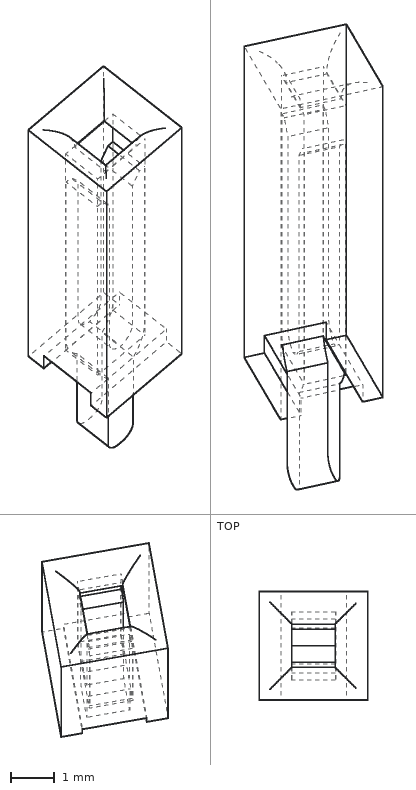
import cadquery as cq
import math

total_height = 12.0
housing_side = 2.5
tail_length = 3.0

notch_width = 1.5
notch_height = 0.5
throat_side = 1.0
throat_length = 0.1
funnel_radius = 0.6
pocket_x = 1.02
pocket_y = 1.56

contact_width = 1.0
tail_thickness = 0.83
tip_radius = 0.36
shoulder_radius = 1.32
gap_width = 0.75
gap_root_radius = 0.48
gap_tangent_z = 4.32
leaf_top_z = 10.2
lead_in_run = 0.24
lead_in_angle = 57.0

funnel_bottom_z = total_height - funnel_radius
pocket_top_z = funnel_bottom_z - throat_length


def make_funnel():
    """Square mouth with rounded walls that run tangent into the throat."""
    throat_half = throat_side / 2
    mouth_half = throat_half + funnel_radius
    arc_offset = funnel_radius * math.sqrt(0.5)
    arc_mid = (mouth_half - arc_offset, funnel_bottom_z + arc_offset)

    def flared_prism(plane):
        return (
            cq.Workplane(plane)
            .moveTo(-throat_half, funnel_bottom_z)
            .lineTo(throat_half, funnel_bottom_z)
            .threePointArc(arc_mid, (mouth_half, total_height))
            .lineTo(-mouth_half, total_height)
            .threePointArc((-arc_mid[0], arc_mid[1]), (-throat_half, funnel_bottom_z))
            .close()
            .extrude(mouth_half, both=True)
        )

    return flared_prism("XZ").intersect(flared_prism("YZ"))


def centred_box(size_x, size_y, bottom_z, top_z):
    """Upright box on the Z axis between two heights."""
    return (
        cq.Workplane("XY", origin=(0, 0, bottom_z))
        .rect(size_x, size_y)
        .extrude(top_z - bottom_z)
    )


def make_housing():
    block = centred_box(housing_side, housing_side, tail_length, total_height)
    notch = centred_box(notch_width, housing_side, tail_length, tail_length + notch_height)
    pocket = centred_box(pocket_x, pocket_y, tail_length, pocket_top_z)
    throat = centred_box(throat_side, throat_side, pocket_top_z, funnel_bottom_z)
    return block.cut(notch).cut(pocket).cut(throat).cut(make_funnel())


def make_contact_blank():
    """Tail that swells through two round shoulders into the body filling the pocket in Y."""
    tail_half = tail_thickness / 2
    body_half = pocket_y / 2
    arc_center_y = body_half - shoulder_radius
    start_angle = math.acos((tail_half - arc_center_y) / shoulder_radius)
    shoulder_top_z = tail_length + shoulder_radius * math.sin(start_angle)
    mid_y = arc_center_y + shoulder_radius * math.cos(start_angle / 2)
    mid_z = shoulder_top_z - shoulder_radius * math.sin(start_angle / 2)
    return (
        cq.Workplane("YZ")
        .moveTo(-tail_half, 0)
        .lineTo(tail_half, 0)
        .lineTo(tail_half, tail_length)
        .threePointArc((mid_y, mid_z), (body_half, shoulder_top_z))
        .lineTo(body_half, leaf_top_z)
        .lineTo(-body_half, leaf_top_z)
        .lineTo(-body_half, shoulder_top_z)
        .threePointArc((-mid_y, mid_z), (-tail_half, tail_length))
        .close()
        .extrude(contact_width / 2, both=True)
        .faces("<Z").edges("|X").fillet(tip_radius)
    )


def make_leaf_gap():
    """Gap between the two leaves: flared at the top, with two arcs meeting at its root."""
    gap_half = gap_width / 2
    arc_center_y = gap_half - gap_root_radius
    root_angle = math.acos(-arc_center_y / gap_root_radius)
    root_z = gap_tangent_z - gap_root_radius * math.sin(root_angle)
    mid_y = arc_center_y + gap_root_radius * math.cos(root_angle / 2)
    mid_z = gap_tangent_z - gap_root_radius * math.sin(root_angle / 2)
    lead_in_z = leaf_top_z - lead_in_run * math.tan(math.radians(lead_in_angle))
    return (
        cq.Workplane("YZ")
        .moveTo(0, root_z)
        .threePointArc((mid_y, mid_z), (gap_half, gap_tangent_z))
        .lineTo(gap_half, lead_in_z)
        .lineTo(gap_half + lead_in_run, leaf_top_z)
        .lineTo(-gap_half - lead_in_run, leaf_top_z)
        .lineTo(-gap_half, lead_in_z)
        .lineTo(-gap_half, gap_tangent_z)
        .threePointArc((-mid_y, mid_z), (0, root_z))
        .close()
        .extrude(contact_width / 2, both=True)
    )


def make_contact():
    return make_contact_blank().cut(make_leaf_gap())


housing = make_housing()
contact = make_contact()
result = cq.Compound.makeCompound([housing.val(), contact.val()])